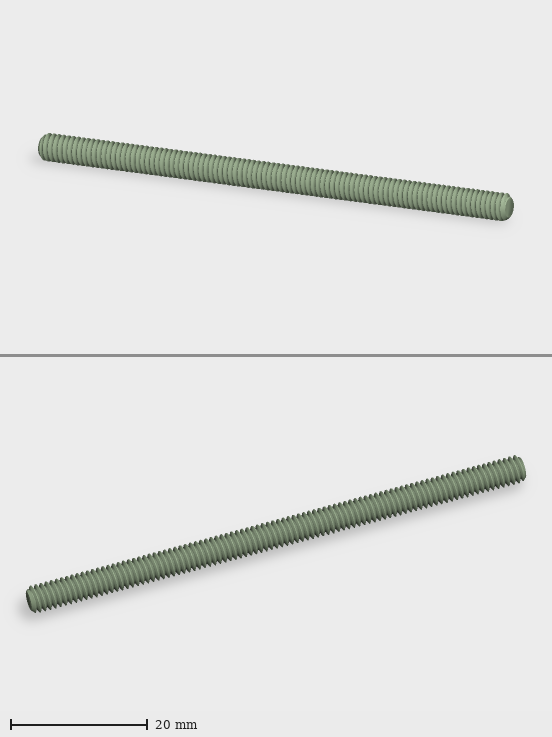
import cadquery as cq
import math

LENGTH = 76.2
MAJOR_DIAMETER = 4.2
TURNS = 96
PITCH = LENGTH / TURNS

FLANK_ANGLE = 30.0
CREST_FLAT = PITCH / 10
ROOT_FLAT = CREST_FLAT
FLANK_RUN = (PITCH - CREST_FLAT - ROOT_FLAT) / 2
THREAD_DEPTH = FLANK_RUN / math.tan(math.radians(FLANK_ANGLE))
MAJOR_RADIUS = MAJOR_DIAMETER / 2
ROOT_RADIUS = MAJOR_RADIUS - THREAD_DEPTH

FIRST_ROOT = 0.145

END_FACE_DIAMETER = 2.9
CHAMFER_ANGLE = 45.0

OVERRUN_TURNS = 2

ROOT_START = FIRST_ROOT - ROOT_FLAT / 2
CREST_START = ROOT_START + ROOT_FLAT + FLANK_RUN
THREAD_PROFILE = [
    (ROOT_RADIUS, ROOT_START),
    (ROOT_RADIUS, ROOT_START + ROOT_FLAT),
    (MAJOR_RADIUS, CREST_START),
    (MAJOR_RADIUS, CREST_START + CREST_FLAT),
    (ROOT_RADIUS, ROOT_START + PITCH),
]


def helix_turn(radius, height):
    """One turn of a helix around Z, starting on the +X side."""
    return cq.Wire.makeHelix(PITCH, PITCH, radius, center=cq.Vector(0, 0, height)).Edges()[0]


def turn_faces():
    """The root, crest and two flank surfaces of one turn."""
    helices = [helix_turn(radius, height) for radius, height in THREAD_PROFILE]
    return [cq.Face.makeRuledSurface(lower, upper) for lower, upper in zip(helices, helices[1:])]


def cap_faces():
    """The two faces that close the helical rod: a helicoid around the axis and the flat step beside it."""
    low = ROOT_START
    high = ROOT_START + PITCH
    axis = cq.Edge.makeLine(cq.Vector(0, 0, low), cq.Vector(0, 0, high))
    helicoid = cq.Face.makeRuledSurface(helix_turn(ROOT_RADIUS, low), axis)
    corners = [(0, low)] + THREAD_PROFILE + [(0, high)]
    step_outline = cq.Wire.makePolygon([cq.Vector(r, 0, z) for r, z in corners], close=True)
    return [helicoid, cq.Face.makeFromWires(step_outline)]


def raised(faces, turn):
    """Copies of the faces moved up by a whole number of turns."""
    return [face.translate(cq.Vector(0, 0, turn * PITCH)) for face in faces]


def overlong_thread():
    """The threaded rod along Z, running past both ends."""
    first_turn = -OVERRUN_TURNS
    end_turn = TURNS + OVERRUN_TURNS
    one_turn = turn_faces()
    cap = cap_faces()
    faces = raised(cap, first_turn) + raised(cap, end_turn)
    for turn in range(first_turn, end_turn):
        faces += raised(one_turn, turn)
    return cq.Workplane(obj=cq.Solid.makeSolid(cq.Shell.makeShell(faces)))


def end_cutter():
    """Everything below z = 0 and outside the chamfer cone of the lower end."""
    face_radius = END_FACE_DIAMETER / 2
    cutter_radius = MAJOR_DIAMETER
    cone_height = (cutter_radius - face_radius) / math.tan(math.radians(CHAMFER_ANGLE))
    bottom = -2 * OVERRUN_TURNS * PITCH
    outline = [
        (0, bottom),
        (0, 0),
        (face_radius, 0),
        (cutter_radius, cone_height),
        (cutter_radius, bottom),
    ]
    return cq.Workplane("XZ").polyline(outline).close().revolve(360, (0, 0, 0), (0, 1, 0))


lower_cutter = end_cutter()
upper_cutter = lower_cutter.mirror("XY").translate((0, 0, LENGTH))

rod = overlong_thread().cut(lower_cutter, clean=False).cut(upper_cutter, clean=False)

result = rod.solids().rotate((0, 0, 0), (0, 1, 0), 90)